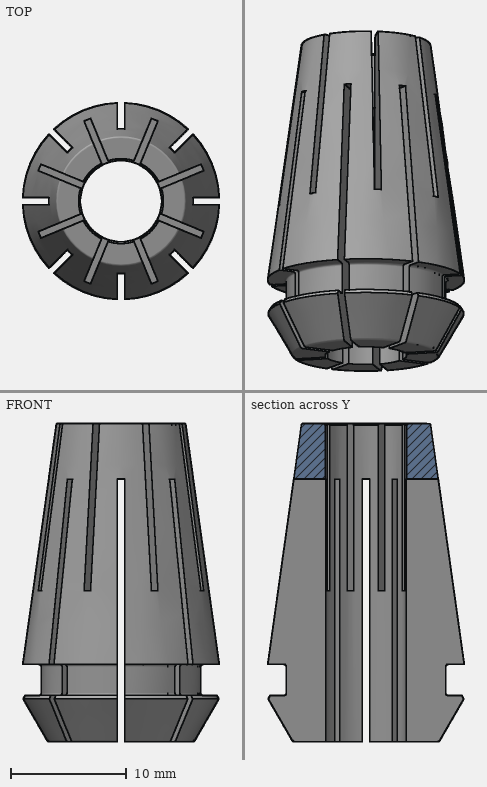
import cadquery as cq
import math

height = 27.5
base_radius = 8.5

tip_radius = 5.58
taper_bottom = 6.68
tip_edge_radius = 0.16

groove_radius = 6.9
groove_bottom = 4.02
groove_fillet = 0.2
flange_radius = 8.64
flange_bevel = 0.35
nose_half_angle = 30.0
nose_edge_radius = 0.3

bore_radius = 7.0 / 2
bore_chamfer = 0.16

slit_width = 0.6
blade_length = 2 * flange_radius
slits_per_end = 8
upper_slit_floor = 13.04
lower_slit_top = 22.7


def collet_body():
    """Solid of revolution about Z: nose, flange, groove and long taper."""
    nose_radius = flange_radius - groove_bottom * math.tan(math.radians(nose_half_angle))
    body = (
        cq.Workplane("XZ")
        .polyline([
            (0, 0),
            (nose_radius, 0),
            (flange_radius, groove_bottom),
            (groove_radius, groove_bottom),
            (groove_radius, taper_bottom),
            (base_radius, taper_bottom),
            (tip_radius, height),
            (0, height),
        ])
        .close()
        .revolve(360, (0, 0, 0), (0, 1, 0))
    )
    body = body.edges(circle_at(nose_radius, 0)).fillet(nose_edge_radius)
    body = body.edges(circle_at(flange_radius, groove_bottom)).chamfer(flange_bevel)
    body = body.edges(circle_at(groove_radius, groove_bottom)).fillet(groove_fillet)
    body = body.edges(circle_at(groove_radius, taper_bottom)).fillet(groove_fillet)
    return body.edges(circle_at(tip_radius, height)).fillet(tip_edge_radius)


def box_around_axis(reach, z, margin):
    """Selector for whatever fits in a thin square box centred on the Z axis."""
    return cq.selectors.BoxSelector(
        (-reach, -reach, z - margin), (reach, reach, z + margin), boundingbox=True
    )


def circle_at(radius, z):
    """Selector for the circular edge of the given radius at height z."""
    margin = 0.03
    return box_around_axis(radius + margin, z, margin) - box_around_axis(radius - margin, z, margin)


def bore():
    """Through bore with a chamfered mouth at the top."""
    hole = cq.Workplane("XY").circle(bore_radius).extrude(height)
    mouth = (
        cq.Workplane("XY", origin=(0, 0, height - bore_chamfer))
        .circle(bore_radius)
        .workplane(offset=bore_chamfer)
        .circle(bore_radius + bore_chamfer)
        .loft(ruled=True)
    )
    return hole.union(mouth)


def radial_slits(z_low, z_high, first_angle):
    """Evenly spaced full-depth slits between two heights."""
    slits = cq.Workplane("XY")
    for index in range(slits_per_end // 2):
        blade = (
            cq.Workplane("XY", origin=(0, 0, z_low))
            .rect(blade_length, slit_width)
            .extrude(z_high - z_low)
            .rotate((0, 0, 0), (0, 0, 1), first_angle + index * 360 / slits_per_end)
        )
        slits = slits.add(blade)
    return slits.combine()


upper_slits = radial_slits(upper_slit_floor, height, 180 / slits_per_end)
lower_slits = radial_slits(0, lower_slit_top, 0)

result = collet_body().cut(bore()).cut(upper_slits).cut(lower_slits)